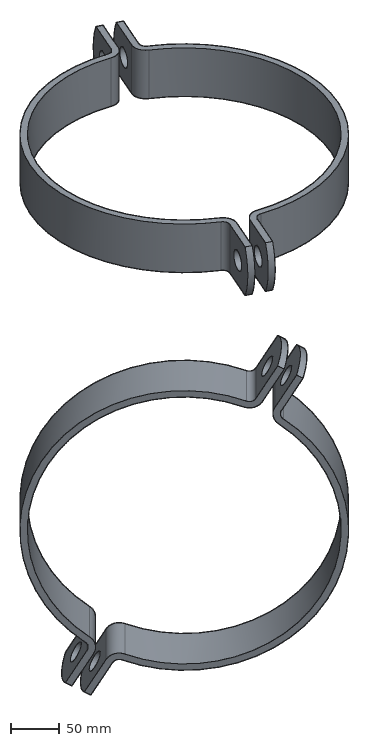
import cadquery as cq
import math

overall_length = 458.0
ring_diameter = 339.0
band_width = 60.0
thickness = 8.0
ear_gap = 14.5
bend_inner_radius = 8.0
hole_diameter = 23.0
hole_inset = 29.8
ear_tip_radius = band_width

outer_radius = ring_diameter / 2
inner_radius = outer_radius - thickness
bend_outer_radius = bend_inner_radius + thickness
half_length = overall_length / 2
ear_inner_y = ear_gap / 2
ear_outer_y = ear_inner_y + thickness

bend_center_y = ear_outer_y + bend_inner_radius
bend_center_distance = outer_radius + bend_inner_radius
bend_center_x = math.sqrt(bend_center_distance**2 - bend_center_y**2)
joint_angle = math.asin(bend_center_y / bend_center_distance)


def ring_point(radius):
    """Point on the +X side where the ring meets the bend."""
    return radius * math.cos(joint_angle), radius * math.sin(joint_angle)


def bend_mid_point(radius):
    """Middle of the +X bend, between the joint direction and straight down."""
    angle = (math.pi + joint_angle + 1.5 * math.pi) / 2
    return bend_center_x + radius * math.cos(angle), bend_center_y + radius * math.sin(angle)


def mirrored(point):
    return -point[0], point[1]


def make_strip():
    """Bent strip of constant thickness: ear, bend, half ring, bend, ear."""
    return (
        cq.Workplane("XY")
        .workplane(offset=-band_width / 2)
        .moveTo(half_length, ear_outer_y)
        .lineTo(bend_center_x, ear_outer_y)
        .threePointArc(bend_mid_point(bend_inner_radius), ring_point(outer_radius))
        .threePointArc((0, outer_radius), mirrored(ring_point(outer_radius)))
        .threePointArc(mirrored(bend_mid_point(bend_inner_radius)), (-bend_center_x, ear_outer_y))
        .lineTo(-half_length, ear_outer_y)
        .lineTo(-half_length, ear_inner_y)
        .lineTo(-bend_center_x, ear_inner_y)
        .threePointArc(mirrored(bend_mid_point(bend_outer_radius)), mirrored(ring_point(inner_radius)))
        .threePointArc((0, inner_radius), ring_point(inner_radius))
        .threePointArc(bend_mid_point(bend_outer_radius), (bend_center_x, ear_inner_y))
        .lineTo(half_length, ear_inner_y)
        .close()
        .extrude(band_width)
    )


def make_tip_envelope():
    """Block with arched ends that rounds the ear tips."""
    half_width = band_width / 2
    tip_rise = ear_tip_radius - math.sqrt(ear_tip_radius**2 - half_width**2)
    corner_x = half_length - tip_rise
    return (
        cq.Workplane("XZ")
        .moveTo(-corner_x, -half_width)
        .lineTo(corner_x, -half_width)
        .threePointArc((half_length, 0), (corner_x, half_width))
        .lineTo(-corner_x, half_width)
        .threePointArc((-half_length, 0), (-corner_x, -half_width))
        .close()
        .extrude(-ring_diameter)
    )


def make_bolt_holes():
    """Cutters for the holes through both ears."""
    hole_x = half_length - hole_inset
    return (
        cq.Workplane("XZ")
        .pushPoints([(-hole_x, 0), (hole_x, 0)])
        .circle(hole_diameter / 2)
        .extrude(-bend_center_y)
    )


def make_clamp_half(angle):
    """One clamp half, turned about the Z axis into place."""
    half = make_strip().intersect(make_tip_envelope()).cut(make_bolt_holes())
    return half.solids().rotate((0, 0, 0), (0, 0, 1), angle)


clamp_halves = [make_clamp_half(angle) for angle in (0, 180)]

result = cq.Compound.makeCompound([half.val() for half in clamp_halves])